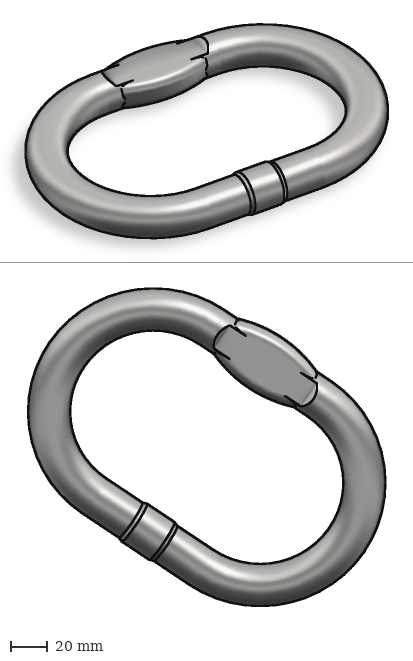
import cadquery as cq
import math

bar_diameter = 23.0
inner_width = 90.0
inner_length = 160.0

bar_radius = bar_diameter / 2
bend_radius = (inner_width + bar_diameter) / 2
leg_length = inner_length - inner_width

sleeve_diameter = 24.73
sleeve_straight_length = 18.0
sleeve_length = 22.8

swell_half_width = 16.04
swell_thickness = 17.0
swell_chord = 50.4
swell_body_length = 52.7
swell_edge_radius = 5.75

recess_floor_length = 57.0
recess_wall_angle = 45.0
recess_corner_radius = 1.5


def half_bend(side):
    """Half circle of bar at the +Y (side = 1) or -Y (side = -1) end of the link."""
    return (
        cq.Workplane("XZ")
        .center(bend_radius, 0)
        .circle(bar_radius)
        .revolve(180, (-bend_radius, 0), (-bend_radius, side))
        .translate((0, side * leg_length / 2, 0))
    )


def leg(x):
    """Straight length of bar along Y."""
    return cq.Workplane("XZ").center(x, 0).circle(bar_radius).extrude(leg_length / 2, both=True)


def sleeve():
    """Raised sleeve with conical ends, turned about the axis of the +X leg."""
    sleeve_radius = sleeve_diameter / 2
    outline = [
        (0, -sleeve_length / 2),
        (bar_radius, -sleeve_length / 2),
        (sleeve_radius, -sleeve_straight_length / 2),
        (sleeve_radius, sleeve_straight_length / 2),
        (bar_radius, sleeve_length / 2),
        (0, sleeve_length / 2),
    ]
    turned = cq.Workplane("XY").polyline(outline).close().revolve(360, (0, 0), (0, 1))
    return turned.translate((bend_radius, 0, 0))


def recess(side):
    """Cutter for the recess above (side = 1) or below (side = -1) the -X leg."""
    floor_z = swell_thickness / 2
    depth = bar_diameter - floor_z
    floor_half = recess_floor_length / 2
    mouth_half = floor_half + depth / math.tan(math.radians(recess_wall_angle))
    outline = [
        (-floor_half, side * floor_z),
        (floor_half, side * floor_z),
        (mouth_half, side * (floor_z + depth)),
        (-mouth_half, side * (floor_z + depth)),
    ]
    floor_face = "<Z" if side > 0 else ">Z"
    return (
        cq.Workplane("YZ")
        .polyline(outline)
        .close()
        .extrude(bar_radius, both=True)
        .faces(floor_face)
        .edges("|X")
        .fillet(recess_corner_radius)
        .translate((-bend_radius, 0, 0))
    )


def swell():
    """Flat-topped body with bowed, heavily rounded sides on the -X leg."""
    bow_height = swell_half_width - bar_radius
    bow_radius = ((swell_chord / 2) ** 2 + bow_height ** 2) / (2 * bow_height)
    end_y = swell_body_length / 2
    end_x = swell_half_width - bow_radius + math.sqrt(bow_radius ** 2 - end_y ** 2)
    body = (
        cq.Workplane("XY")
        .moveTo(end_x, -end_y)
        .threePointArc((swell_half_width, 0), (end_x, end_y))
        .lineTo(-end_x, end_y)
        .threePointArc((-swell_half_width, 0), (-end_x, -end_y))
        .close()
        .extrude(swell_thickness / 2, both=True)
    )
    rounded = body.edges("%CIRCLE").fillet(swell_edge_radius)
    return rounded.translate((-bend_radius, 0, 0))


marked_leg = leg(-bend_radius)
for side in (1, -1):
    marked_leg = marked_leg.cut(recess(side))
marked_leg = marked_leg.union(swell())

result = marked_leg.union(half_bend(1)).union(leg(bend_radius)).union(half_bend(-1)).union(sleeve())